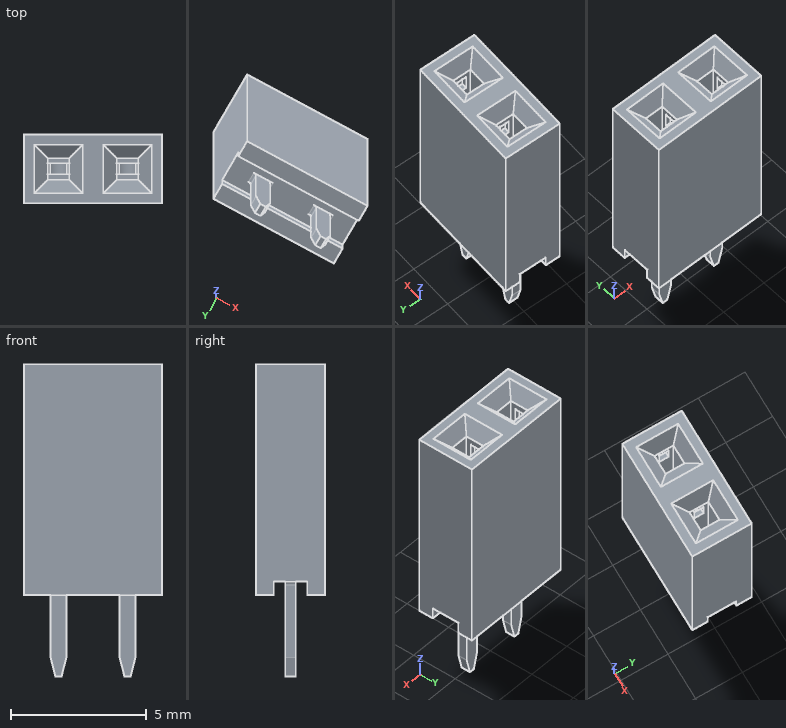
import cadquery as cq
import math

pitch = 2.54
contact_count = 2
total_height = 11.5
pin_reach = 3.0
housing_length = contact_count * pitch
housing_width = pitch
housing_height = total_height - pin_reach
housing_top = housing_height / 2
housing_bottom = -housing_height / 2

groove_width = 1.22
groove_depth = 0.5
groove_roof = housing_bottom + groove_depth

funnel_side = 1.79
hole_side = 0.8
funnel_depth = (funnel_side - hole_side) / 2
hole_top = housing_top - funnel_depth
hole_depth = 3.68
hole_floor = hole_top - hole_depth

slot_length = 1.26
slot_drop = 0.3
slot_top = hole_top - slot_drop

contact_thickness = 0.4
fork_drop = 0.69
fork_top = slot_top - fork_drop
throat_width = 0.62
throat_end_angle = math.radians(45)
ramp_angle = math.radians(66)
throat_half = throat_width / 2
throat_sag = throat_half * math.tan(throat_end_angle / 2)
throat_level = hole_floor + throat_sag
ramp_rise = (hole_side / 2 - throat_half) * math.tan(ramp_angle)
ramp_top = throat_level + ramp_rise

pin_width = 0.6
pin_bottom = housing_bottom - pin_reach
tip_width = 0.23
tip_height = 0.72
shoulder_radius = 0.1


def housing():
    block = cq.Workplane("XY").box(housing_length, housing_width, housing_height)
    groove = (
        cq.Workplane("XY", origin=(0, 0, housing_bottom))
        .box(housing_length, groove_width, groove_depth, centered=(True, True, False))
    )
    return block.cut(groove)


def socket_cavity(x):
    funnel = (
        cq.Workplane("XY", origin=(x, 0, housing_top))
        .rect(funnel_side, funnel_side)
        .workplane(offset=-funnel_depth)
        .rect(hole_side, hole_side)
        .loft(combine=True)
    )
    hole = (
        cq.Workplane("XY", origin=(x, 0, hole_floor))
        .box(hole_side, hole_side, hole_depth, centered=(True, True, False))
    )
    slot = (
        cq.Workplane("XY", origin=(x, 0, hole_floor))
        .box(slot_length, contact_thickness, slot_top - hole_floor, centered=(True, True, False))
    )
    return funnel.union(hole).union(slot)


def fork(x):
    """Plate in the slot: two tines flush with the hole, joined by ramps and a round throat."""
    plate = (
        cq.Workplane("XY", origin=(x, 0, hole_floor))
        .box(slot_length, contact_thickness, fork_top - hole_floor, centered=(True, True, False))
    )
    gap = (
        cq.Workplane("XZ", origin=(x, 0, 0))
        .moveTo(-hole_side / 2, fork_top)
        .lineTo(-hole_side / 2, ramp_top)
        .lineTo(-throat_half, throat_level)
        .threePointArc((0, hole_floor), (throat_half, throat_level))
        .lineTo(hole_side / 2, ramp_top)
        .lineTo(hole_side / 2, fork_top)
        .close()
        .extrude(contact_thickness / 2, both=True)
    )
    return plate.cut(gap)


def solder_pin(x):
    """Flat pin with a tapered tip, flared by a quarter arc on each edge at the groove roof."""
    half_pin = pin_width / 2
    half_tip = tip_width / 2
    half_flare = half_pin + shoulder_radius
    flare_start = groove_roof - shoulder_radius
    tip_start = pin_bottom + tip_height
    diagonal = shoulder_radius * math.sqrt(0.5)
    arc_middle_x = half_flare - diagonal
    arc_middle_z = flare_start + diagonal
    return (
        cq.Workplane("XZ", origin=(x, 0, 0))
        .moveTo(half_flare, groove_roof)
        .threePointArc((arc_middle_x, arc_middle_z), (half_pin, flare_start))
        .lineTo(half_pin, tip_start)
        .lineTo(half_tip, pin_bottom)
        .lineTo(-half_tip, pin_bottom)
        .lineTo(-half_pin, tip_start)
        .lineTo(-half_pin, flare_start)
        .threePointArc((-arc_middle_x, arc_middle_z), (-half_flare, groove_roof))
        .close()
        .extrude(contact_thickness / 2, both=True)
    )


result = housing()
for index in range(contact_count):
    contact_x = (index - (contact_count - 1) / 2) * pitch
    result = result.cut(socket_cavity(contact_x)).union(fork(contact_x)).union(solder_pin(contact_x))